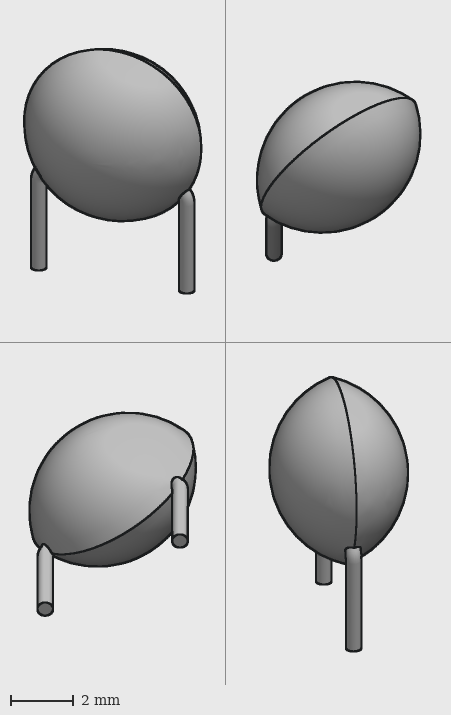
import cadquery as cq
import math

total_height = 8.1
body_diameter = 6.0
body_thickness = 4.4

lead_diameter = 0.5
lead_pitch = 5.005
straight_length = 3.1
bend_radius = 0.5
bend_angle = 30.0
buried_length = 0.97

body_radius = body_diameter / 2
body_center_z = total_height - body_radius


def make_body():
    """Lens of two equal spherical caps that meet in a sharp rim in the XZ plane."""
    half_thickness = body_thickness / 2
    cap_sphere_radius = (body_radius**2 + half_thickness**2) / (2 * half_thickness)
    cap_angle = math.asin(body_radius / cap_sphere_radius)
    mid_radius = cap_sphere_radius * math.sin(cap_angle / 2)
    mid_height = half_thickness - cap_sphere_radius * (1 - math.cos(cap_angle / 2))
    profile = (
        cq.Workplane("XY")
        .moveTo(0, -half_thickness)
        .threePointArc((mid_radius, -mid_height), (body_radius, 0))
        .threePointArc((mid_radius, mid_height), (0, half_thickness))
        .close()
    )
    return profile.revolve(360, (0, 0), (0, 1)).translate((0, 0, body_center_z))


def make_lead(side):
    """Round lead, vertical and then bent inward; side is -1 or +1 along X."""
    lead_x = side * lead_pitch / 2

    def bend_point(degrees):
        angle = math.radians(degrees)
        inward = bend_radius * (1 - math.cos(angle))
        return lead_x - side * inward, straight_length + bend_radius * math.sin(angle)

    bend_end = bend_point(bend_angle)
    end_angle = math.radians(bend_angle)
    lead_tip = (
        bend_end[0] - side * buried_length * math.sin(end_angle),
        bend_end[1] + buried_length * math.cos(end_angle),
    )
    path = (
        cq.Workplane("XZ")
        .moveTo(lead_x, 0)
        .lineTo(lead_x, straight_length)
        .threePointArc(bend_point(bend_angle / 2), bend_end)
        .lineTo(*lead_tip)
    )
    return cq.Workplane("XY").center(lead_x, 0).circle(lead_diameter / 2).sweep(path)


result = make_body()
for side in (-1, 1):
    result = result.union(make_lead(side))